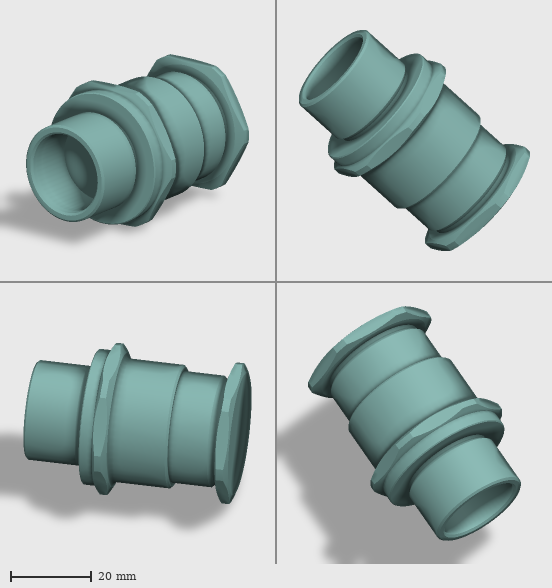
import cadquery as cq
import math

TOTAL_LENGTH = 52.5
SPIGOT_END = 13.0
RELIEF_START = 14.05
FLANGE_START = 14.9
FLANGE_END = 18.1
COLLAR_END = 22.05
BODY_END = 37.0
SLEEVE_END = 46.9
NECK_START = 47.95
CAP_START = 49.0

SPIGOT_DIAMETER = 25.0
RELIEF_DIAMETER = 23.0
FLANGE_DIAMETER = 34.0
BODY_DIAMETER = 31.0
SLEEVE_DIAMETER = 28.0
NECK_DIAMETER = 26.0
BORE_DIAMETER = 20.4
BORE_DEPTH = 13.0

COLLAR_FLATS = 35.0
COLLAR_CORNERS = 37.95
COLLAR_CHAMFER_ANGLE = 30.0
COLLAR_LAND = (19.25, 20.85)
CAP_FLATS = 32.15
CAP_CORNERS = 35.3
CAP_CHAMFER_ANGLE = 20.0
CAP_LAND = (49.8, 51.65)

EDGE_CHAMFER = 0.5
BODY_FILLET = 1.05
FLANGE_CHAMFER = 0.25


def revolve_about_y(points):
    """Solid of revolution from (radius, y) points."""
    return cq.Workplane("XY").polyline(points).close().revolve(360, (0, 0, 0), (0, 1, 0))


def make_body():
    spigot = SPIGOT_DIAMETER / 2
    relief = RELIEF_DIAMETER / 2
    flange = FLANGE_DIAMETER / 2
    body = BODY_DIAMETER / 2
    sleeve = SLEEVE_DIAMETER / 2
    neck = NECK_DIAMETER / 2
    return revolve_about_y([
        (0, 0),
        (spigot - EDGE_CHAMFER, 0),
        (spigot, EDGE_CHAMFER),
        (spigot, SPIGOT_END),
        (relief, RELIEF_START),
        (relief, FLANGE_START),
        (flange - FLANGE_CHAMFER, FLANGE_START),
        (flange, FLANGE_START + FLANGE_CHAMFER),
        (flange, FLANGE_END),
        (body, FLANGE_END),
        (body, BODY_END - EDGE_CHAMFER),
        (body - EDGE_CHAMFER, BODY_END),
        (sleeve, BODY_END),
        (sleeve, SLEEVE_END),
        (neck, NECK_START),
        (neck, CAP_START),
        (0, CAP_START),
    ])


def make_hexagon(start, end, land, flats, corners, chamfer_angle):
    """Hexagon with flats facing +/-Z, its corners turned and coned toward both faces."""
    hexagon = (
        cq.Workplane("XZ", origin=(0, start, 0))
        .polygon(6, flats / math.cos(math.pi / 6))
        .extrude(start - end)
    )
    land_start, land_end = land
    outer = corners / 2
    radius_per_height = 1 / math.tan(math.radians(chamfer_angle))
    start_radius = outer - (land_start - start) * radius_per_height
    end_radius = outer - (end - land_end) * radius_per_height
    turned = revolve_about_y([
        (0, start),
        (start_radius, start),
        (outer, land_start),
        (outer, land_end),
        (end_radius, end),
        (0, end),
    ])
    return hexagon.intersect(turned)


def make_body_fillet():
    """Concave ring blending the body into the collar face."""
    body = BODY_DIAMETER / 2
    outer = body + BODY_FILLET
    top = COLLAR_END + BODY_FILLET
    arc_inset = BODY_FILLET * (1 - math.sqrt(0.5))
    return (
        cq.Workplane("XY")
        .moveTo(body - BODY_FILLET, COLLAR_END)
        .lineTo(outer, COLLAR_END)
        .threePointArc((body + arc_inset, COLLAR_END + arc_inset), (body, top))
        .lineTo(body - BODY_FILLET, top)
        .close()
        .revolve(360, (0, 0, 0), (0, 1, 0))
    )


def make_bore():
    radius = BORE_DIAMETER / 2
    return revolve_about_y([
        (0, 0),
        (radius + EDGE_CHAMFER, 0),
        (radius, EDGE_CHAMFER),
        (radius, BORE_DEPTH),
        (0, BORE_DEPTH),
    ])


collar = make_hexagon(
    FLANGE_END, COLLAR_END, COLLAR_LAND, COLLAR_FLATS, COLLAR_CORNERS, COLLAR_CHAMFER_ANGLE
)
cap = make_hexagon(CAP_START, TOTAL_LENGTH, CAP_LAND, CAP_FLATS, CAP_CORNERS, CAP_CHAMFER_ANGLE)

result = make_body().union(collar).union(make_body_fillet()).union(cap).cut(make_bore())